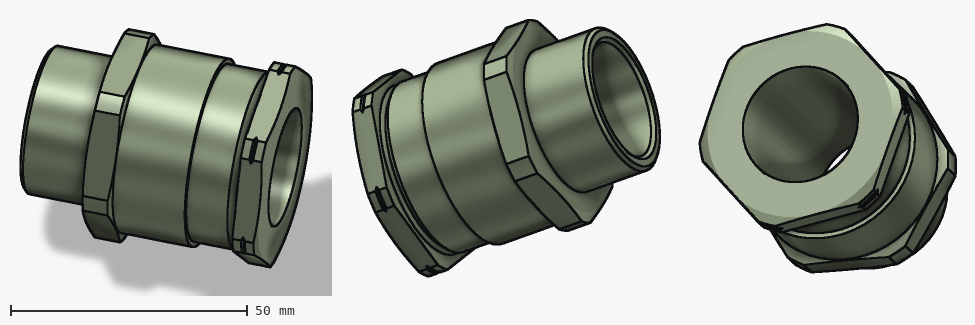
import cadquery as cq
import math

total_length = 53.8

spigot_radius = 16.0
spigot_length = 15.3
bore_radius = 12.75
end_chamfer = 0.8

across_flats = 41.0
corner_radius = 22.55
hex_face_radius = across_flats / 2
hex_sides = 6
sharp_corner_diameter = across_flats / math.cos(math.pi / hex_sides)

flange_thickness = 6.45
flange_end = spigot_length + flange_thickness
flange_bevel = 0.5

body_radius = 20.3
body_end = 37.55
neck_radius = 19.15
neck_end = 46.6
relief_depth = 1.35
relief_bottom = neck_end + relief_depth
relief_radius = neck_radius - relief_depth

nut_thickness = 5.15
nut_start = total_length - nut_thickness
nut_bevel = 0.55
nut_turn = 10.0
nut_back_radius = 18.95

groove_position = 50.95
groove_width = 0.85
groove_depth = 0.3


def turned(points):
    """Revolve an (x, radius) outline about the X axis."""
    profile = cq.Workplane("XY").polyline(points).close()
    return profile.revolve(360, (0, 0, 0), (1, 0, 0))


def hexagon(start, end, turn, start_bevel, end_bevel):
    """Hexagon along X with round corners and conical bevels; flats face +-Z at zero turn."""
    prism = (
        cq.Workplane("YZ", origin=(start, 0, 0))
        .polygon(hex_sides, sharp_corner_diameter)
        .extrude(end - start)
        .rotate((0, 0, 0), (1, 0, 0), turn)
    )
    envelope = [(start, 0)]
    if start_bevel:
        envelope.append((start, hex_face_radius))
    envelope += [
        (start + start_bevel, corner_radius),
        (end - end_bevel, corner_radius),
        (end, hex_face_radius),
        (end, 0),
    ]
    return prism.intersect(turned(envelope))


def corner_groove():
    """V-shaped ring that only reaches the rounded corners of the nut."""
    half_width = groove_width / 2
    return turned([
        (groove_position - half_width, corner_radius),
        (groove_position, corner_radius - groove_depth),
        (groove_position + half_width, corner_radius),
    ])


core = turned([
    (0, 0),
    (0, spigot_radius - end_chamfer),
    (end_chamfer, spigot_radius),
    (spigot_length, spigot_radius),
    (spigot_length, body_radius),
    (body_end, body_radius),
    (body_end, neck_radius),
    (neck_end, neck_radius),
    (relief_bottom, relief_radius),
    (nut_start, nut_back_radius),
    (nut_start, 0),
])

flange = hexagon(spigot_length, flange_end, 0, flange_bevel, flange_bevel)
nut = hexagon(nut_start, total_length, nut_turn, 0, nut_bevel).cut(corner_groove())

bore = turned([
    (0, 0),
    (0, bore_radius + end_chamfer),
    (end_chamfer, bore_radius),
    (total_length, bore_radius),
    (total_length, 0),
])

result = core.union(flange).union(nut).cut(bore)